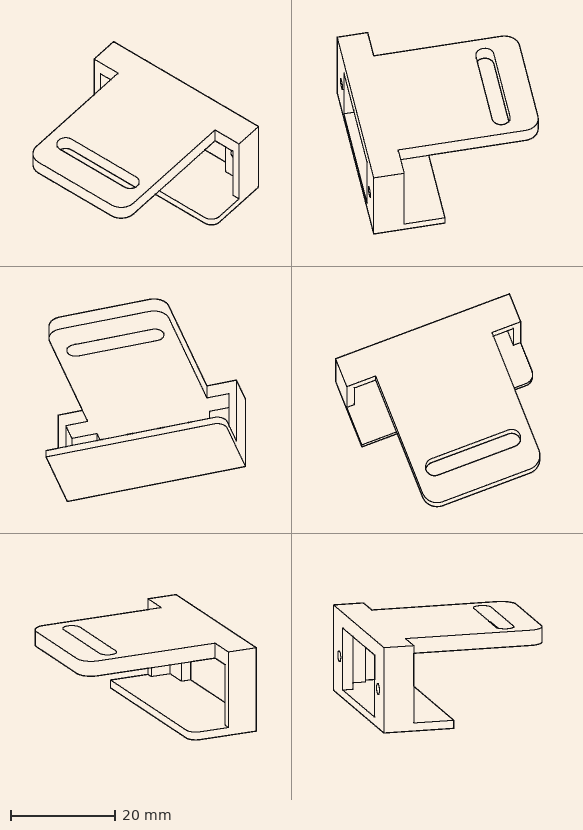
import cadquery as cq

width = 35.85
depth = 34.0
height = 16.92

top_thickness = 3.05
floor_thickness = 1.6
floor_depth = 13.98
floor_corner_radius = 2.0
back_thickness = 2.0
side_thickness = 1.55
side_depth = 6.0

tab_width = 24.0
tab_corner_radius = 3.0
slot_length = 19.35
slot_width = 3.48
slot_from_back = 26.95

window_width = 22.65
hole_diameter = 2.08
hole_spacing = 27.45

center_x = width / 2
opening_height = height - top_thickness - floor_thickness
opening_mid_z = floor_thickness + opening_height / 2
top_underside = height - top_thickness


def plate(size_x, size_y, size_z, bottom_z, center=center_x):
    """Make a box that runs forward from the back face."""
    box = cq.Workplane("XY").box(size_x, size_y, size_z, centered=(True, False, False))
    return box.translate((center, -size_y, bottom_z))


def make_top():
    shoulder = plate(width, side_depth, top_thickness, top_underside)
    tab = plate(tab_width, depth, top_thickness, top_underside)
    tab = tab.edges("|Z and <Y").fillet(tab_corner_radius)
    slot = (
        cq.Workplane("XY", origin=(center_x, -slot_from_back, top_underside))
        .slot2D(slot_length, slot_width)
        .extrude(top_thickness)
    )
    return shoulder.union(tab).cut(slot)


def make_floor():
    floor = plate(width, floor_depth, floor_thickness, 0)
    return floor.edges("|Z and <Y and >X").fillet(floor_corner_radius)


def make_side(center):
    return plate(side_thickness, side_depth, height, 0, center)


def make_back():
    wall = plate(width, back_thickness, height, 0)
    window = plate(window_width, back_thickness, opening_height, floor_thickness)
    holes = (
        cq.Workplane("XZ", origin=(center_x, 0, opening_mid_z))
        .pushPoints([(-hole_spacing / 2, 0), (hole_spacing / 2, 0)])
        .circle(hole_diameter / 2)
        .extrude(back_thickness)
    )
    return wall.cut(window).cut(holes)


result = make_back().union(make_floor()).union(make_top())
for side_center in (side_thickness / 2, width - side_thickness / 2):
    result = result.union(make_side(side_center))